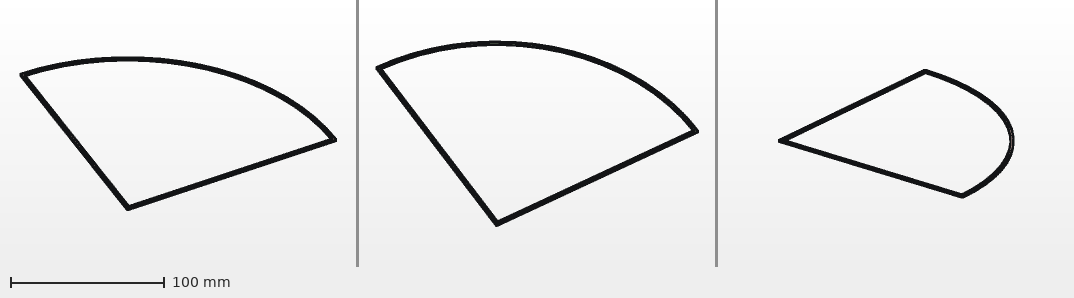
import cadquery as cq
import math

outer_radius = 152.4
frame_width = 2.0
thickness = 1.0

inner_radius = outer_radius - frame_width


def quarter_sector(radius, inset):
    """Solid quarter disc about the origin, its straight sides moved inward by inset."""
    reach = math.sqrt(radius**2 - inset**2)
    middle = radius * math.sqrt(0.5)
    return (
        cq.Workplane("XY")
        .moveTo(-inset, inset)
        .lineTo(-inset, reach)
        .threePointArc((-middle, middle), (-reach, inset))
        .close()
        .extrude(thickness)
    )


outer_body = quarter_sector(outer_radius, 0)
opening = quarter_sector(inner_radius, frame_width)

result = outer_body.cut(opening)